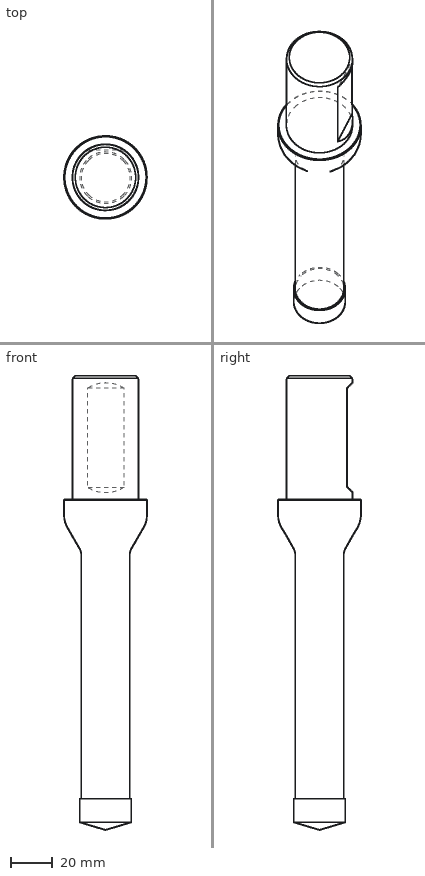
import cadquery as cq
import math

total_height = 219.0
collar_top = 159.5
collar_bottom = 151.5
tip_height = 15.1
point_height = 3.7

shank_radius = 32.0 / 2
collar_radius = 40.0 / 2
stem_radius = 23.5 / 2
tip_radius = 25.0 / 2

chamfer_size = 1.3
lead_in_depth = 0.1
lead_in_height = 1.5

collar_chamfer = 0.5

cone_angle = math.radians(30)
shoulder_radius = 11.0
neck_radius = 6.5

flat_depth = 2.6
flat_end_margin = 6.0


def arc_point(center, radius, angle):
    """Point on an arc in the profile plane, at an angle from the outward direction."""
    return (center[0] + radius * math.cos(angle), center[1] + radius * math.sin(angle))


def make_body_blank():
    shoulder_center = (collar_radius - shoulder_radius, collar_bottom)
    shoulder_end = arc_point(shoulder_center, shoulder_radius, -cone_angle)

    neck_center_r = stem_radius + neck_radius
    cone_end_r = neck_center_r - neck_radius * math.cos(cone_angle)
    cone_end_z = shoulder_end[1] - (shoulder_end[0] - cone_end_r) / math.tan(cone_angle)
    neck_center = (neck_center_r, cone_end_z - neck_radius * math.sin(cone_angle))

    chamfer_bottom = total_height - chamfer_size
    chamfer_radius = shank_radius - lead_in_depth

    return (
        cq.Workplane("XZ")
        .moveTo(0, tip_height)
        .lineTo(stem_radius, tip_height)
        .lineTo(stem_radius, neck_center[1])
        .threePointArc(
            arc_point(neck_center, neck_radius, math.pi - cone_angle / 2),
            (cone_end_r, cone_end_z),
        )
        .lineTo(*shoulder_end)
        .threePointArc(
            arc_point(shoulder_center, shoulder_radius, -cone_angle / 2),
            (collar_radius, collar_bottom),
        )
        .lineTo(collar_radius, collar_top - collar_chamfer)
        .lineTo(collar_radius - collar_chamfer, collar_top)
        .lineTo(shank_radius, collar_top)
        .lineTo(shank_radius, chamfer_bottom - lead_in_height)
        .lineTo(chamfer_radius, chamfer_bottom)
        .lineTo(chamfer_radius - chamfer_size, total_height)
        .lineTo(0, total_height)
        .close()
        .revolve(360, (0, 0), (0, 1))
    )


def make_flat_cutter():
    flat_y = shank_radius - flat_depth
    flat_low = collar_top + flat_end_margin
    flat_high = total_height - flat_end_margin
    return (
        cq.Workplane("YZ")
        .moveTo(flat_y, flat_low)
        .lineTo(shank_radius, flat_low - flat_depth)
        .lineTo(shank_radius, flat_high + flat_depth)
        .lineTo(flat_y, flat_high)
        .close()
        .extrude(shank_radius, both=True)
    )


def make_holder():
    return make_body_blank().cut(make_flat_cutter())


def make_tip():
    return (
        cq.Workplane("XZ")
        .lineTo(tip_radius, point_height)
        .lineTo(tip_radius, tip_height)
        .lineTo(0, tip_height)
        .close()
        .revolve(360, (0, 0), (0, 1))
    )


holder = make_holder()
tip = make_tip()

result = cq.Compound.makeCompound([holder.val(), tip.val()])